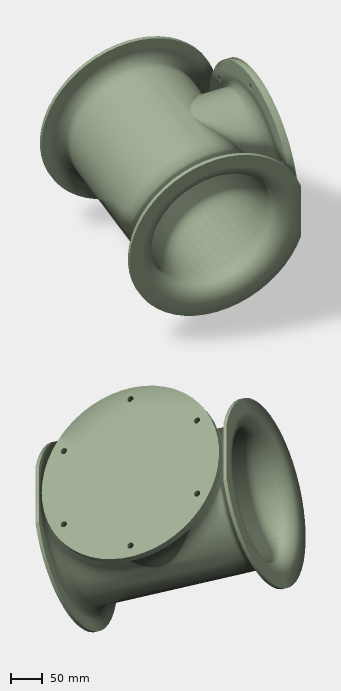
import cadquery as cq
import math

length = 330.0
pipe_radius = 231.0 / 2
bore_radius = 214.0 / 2
flange_radius = 306.0 / 2
flange_thickness = 6.0
flat_y = 144.5
mouth_radius = 46.0 / 2
neck_radius = 16.0

branch_radius = 221.5 / 2
branch_face_y = 300.0 - flange_radius
branch_flange_thickness = 12.2
branch_neck_radius = 10.0
seam_radius = 3.0
hole_diameter = 10.5
hole_circle_radius = 132.5
hole_count = 6


def cylinder_along_y(radius, start_y, end_y):
    base = cq.Workplane("XZ", origin=(0, start_y, 0))
    return base.circle(radius).extrude(start_y - end_y)


def main_body():
    """Outside of the pipe with its two flanges, without the bore."""
    flange_back = length / 2 - flange_thickness
    neck_end = flange_back - neck_radius
    neck_centre_radius = pipe_radius + neck_radius
    arc_offset = neck_radius * math.sqrt(0.5)
    arc_x = neck_end + arc_offset
    arc_r = neck_centre_radius - arc_offset
    body = (
        cq.Workplane("XY")
        .moveTo(-length / 2, 0)
        .lineTo(-length / 2, flange_radius)
        .lineTo(-flange_back, flange_radius)
        .lineTo(-flange_back, neck_centre_radius)
        .threePointArc((-arc_x, arc_r), (-neck_end, pipe_radius))
        .lineTo(neck_end, pipe_radius)
        .threePointArc((arc_x, arc_r), (flange_back, neck_centre_radius))
        .lineTo(flange_back, flange_radius)
        .lineTo(length / 2, flange_radius)
        .lineTo(length / 2, 0)
        .close()
        .revolve(360, (0, 0, 0), (1, 0, 0))
    )
    depth = flat_y + flange_radius
    keep = cq.Workplane("XY").box(length, depth, 2 * flange_radius)
    return body.intersect(keep.translate((0, flat_y - depth / 2, 0)))


def main_bore():
    """Bore of the pipe, flared by a quarter round at both ends."""
    mouth_end = length / 2 - mouth_radius
    arc_offset = mouth_radius * math.sqrt(0.5)
    arc_x = mouth_end + arc_offset
    arc_r = bore_radius + mouth_radius - arc_offset
    face_radius = bore_radius + mouth_radius
    return (
        cq.Workplane("XY")
        .moveTo(-length / 2, 0)
        .lineTo(-length / 2, face_radius)
        .threePointArc((-arc_x, arc_r), (-mouth_end, bore_radius))
        .lineTo(mouth_end, bore_radius)
        .threePointArc((arc_x, arc_r), (length / 2, face_radius))
        .lineTo(length / 2, 0)
        .close()
        .revolve(360, (0, 0, 0), (1, 0, 0))
    )


def branch_body():
    """Branch stub and its flange, joined by a rounded neck."""
    flange_back = branch_face_y - branch_flange_thickness
    stub = cylinder_along_y(branch_radius, 0, flange_back)
    flange = cylinder_along_y(flange_radius, flange_back, branch_face_y)
    margin = 3.3
    reach = branch_radius + margin
    joint = cq.selectors.BoxSelector(
        (-reach, flange_back - margin, -reach),
        (reach, flange_back + margin, reach),
        boundingbox=True,
    )
    return stub.union(flange).edges(joint).fillet(branch_neck_radius)


def flange_holes():
    """Bolt holes through the branch flange, the first one at the top."""
    return (
        cq.Workplane("XZ", origin=(0, branch_face_y, 0))
        .polarArray(hole_circle_radius, 90, 360, hole_count)
        .circle(hole_diameter / 2)
        .extrude(branch_flange_thickness)
    )


def round_seam(body):
    """Round the saddle-shaped seam, the only edges between pipe and branch neck."""
    margin = 3.3
    reach = branch_radius + margin
    seam = cq.selectors.BoxSelector(
        (-reach, margin, -reach), (reach, pipe_radius + margin, reach), boundingbox=True
    )
    return body.edges(seam).fillet(seam_radius)


outside = round_seam(main_body().union(branch_body()))
result = outside.cut(main_bore()).cut(flange_holes())